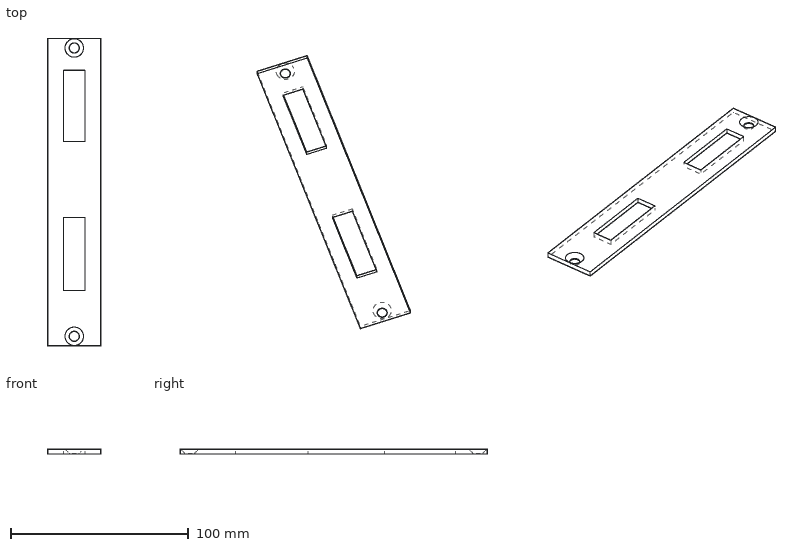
import cadquery as cq

plate_width = 30.0
plate_length = 173.0
plate_thickness = 3.0

window_width = 12.0
upper_window_length = 40.0
upper_window_top = 68.5
lower_window_length = 41.0
lower_window_top = -14.4

hole_diameter = 5.5
countersink_diameter = 10.4
countersink_angle = 90.0
hole_end_distance = 5.4


def make_plate():
    """Flat plate centred on X and Y, with its underside on Z = 0."""
    return cq.Workplane("XY").box(
        plate_width, plate_length, plate_thickness, centered=(True, True, False)
    )


def cut_window(body, top, length):
    """Cut a through window that extends from its top edge toward -Y."""
    return (
        body.faces(">Z")
        .workplane(origin=(0, top - length / 2, 0))
        .rect(window_width, length)
        .cutThruAll()
    )


def cut_screw_holes(body):
    """Drill a hole near each end, countersunk from the upper face."""
    hole_y = plate_length / 2 - hole_end_distance
    return (
        body.faces(">Z")
        .workplane(origin=(0, 0, 0))
        .pushPoints([(0, hole_y), (0, -hole_y)])
        .cskHole(hole_diameter, countersink_diameter, countersink_angle)
    )


result = make_plate()
result = cut_window(result, upper_window_top, upper_window_length)
result = cut_window(result, lower_window_top, lower_window_length)
result = cut_screw_holes(result)